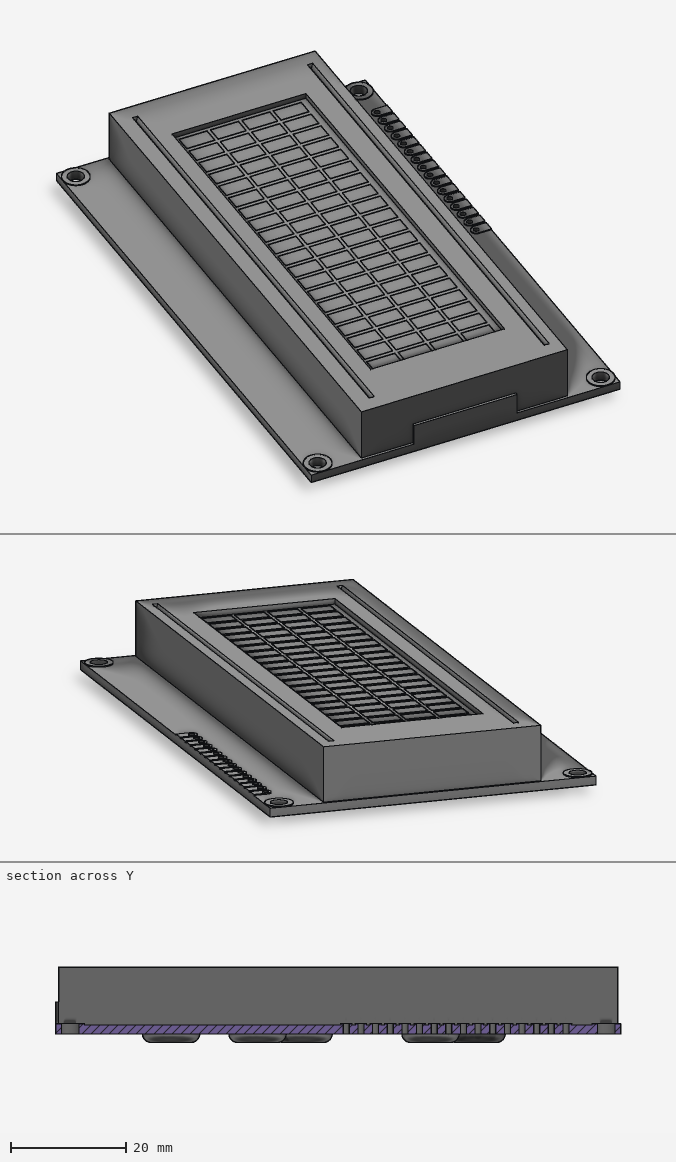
import cadquery as cq

BOARD_X = 98.0
BOARD_Y = 60.0
BOARD_THICKNESS = 1.6

COPPER_HEIGHT = 0.2
HOLE_DIAMETER = 3.0
RING_DIAMETER = 5.0
HOLE_INSET = RING_DIAMETER / 2

PIN_COUNT = 16
PIN_PITCH = 2.54
FIRST_PIN_X = -39.5
PIN_INSET = 2.5
PIN_Y = BOARD_Y / 2 - PIN_INSET
PIN_HOLE_DIAMETER = 1.0
PAD_WIDTH = 2.0

HOUSING_X = 97.0
HOUSING_Y = 40.0
HOUSING_HEIGHT = 10.0
HOUSING_TOP = BOARD_THICKNESS + HOUSING_HEIGHT

GROOVE_LENGTH = 91.0
GROOVE_WIDTH = 1.0
GROOVE_DEPTH = 0.7
GROOVE_Y_CENTERS = (-16.5, 17.5)

WINDOW_X = 76.4
WINDOW_Y = 26.0
WINDOW_DEPTH = 1.0
WINDOW_FLOOR = HOUSING_TOP - WINDOW_DEPTH

CELL_COLUMNS = 20
CELL_ROWS = 4
CELL_X = 3.0
CELL_Y = 5.45
CELL_PITCH_X = 3.8
CELL_PITCH_Y = 6.1
CELL_DEPTH = 0.1
CELL_LEFT_MARGIN = 0.7
CELL_TOP_MARGIN = 1.25

TERMINAL_Y = 20.0
TERMINAL_HEIGHT = 4.0

BLOB_RADIUS = 5.0
BLOB_FLAT_RADIUS = 3.4
BLOB_HEIGHT = 1.5
BLOB_BULGE = 0.3
BLOB_CENTERS = [(-24.0, -9.0), (-16.0, 9.0), (6.0, -9.0), (14.0, 9.0), (29.0, 0.0)]


def block(size_x, size_y, height, base_z):
    """Box centred on the Z axis, standing on base_z."""
    return cq.Workplane("XY").workplane(offset=base_z).rect(size_x, size_y).extrude(height)


def corner_points():
    return [
        (side_x * (BOARD_X / 2 - HOLE_INSET), side_y * (BOARD_Y / 2 - HOLE_INSET))
        for side_x in (-1, 1)
        for side_y in (-1, 1)
    ]


def pin_points():
    return [(FIRST_PIN_X + index * PIN_PITCH, PIN_Y) for index in range(PIN_COUNT)]


def connector_pad(x):
    """Pad running from the +Y board edge to a round end about the pin hole."""
    half = PAD_WIDTH / 2
    return (
        cq.Workplane("XY")
        .workplane(offset=BOARD_THICKNESS)
        .moveTo(x - half, BOARD_Y / 2)
        .lineTo(x - half, PIN_Y)
        .threePointArc((x, PIN_Y - half), (x + half, PIN_Y))
        .lineTo(x + half, BOARD_Y / 2)
        .close()
        .extrude(COPPER_HEIGHT)
    )


def drill(points, diameter):
    """Cutting cylinders through the board and its copper."""
    depth = BOARD_THICKNESS + COPPER_HEIGHT
    return cq.Workplane("XY").pushPoints(points).circle(diameter / 2).extrude(depth)


def make_board():
    board = block(BOARD_X, BOARD_Y, BOARD_THICKNESS, 0)
    rings = (
        cq.Workplane("XY")
        .workplane(offset=BOARD_THICKNESS)
        .pushPoints(corner_points())
        .circle(RING_DIAMETER / 2)
        .extrude(COPPER_HEIGHT)
    )
    board = board.union(rings)
    for x, _ in pin_points():
        board = board.union(connector_pad(x))
    board = board.cut(drill(corner_points(), HOLE_DIAMETER))
    return board.cut(drill(pin_points(), PIN_HOLE_DIAMETER))


def make_groove(y):
    """V-shaped groove with ends that slope like its sides."""
    half = GROOVE_WIDTH / 2
    left = -GROOVE_LENGTH / 2
    right = GROOVE_LENGTH / 2
    bottom = HOUSING_TOP - GROOVE_DEPTH
    front_left = cq.Vector(left, y - half, HOUSING_TOP)
    front_right = cq.Vector(right, y - half, HOUSING_TOP)
    back_left = cq.Vector(left, y + half, HOUSING_TOP)
    back_right = cq.Vector(right, y + half, HOUSING_TOP)
    bottom_left = cq.Vector(left + half, y, bottom)
    bottom_right = cq.Vector(right - half, y, bottom)
    loops = [
        (front_left, front_right, back_right, back_left),
        (front_left, front_right, bottom_right, bottom_left),
        (back_right, back_left, bottom_left, bottom_right),
        (front_left, back_left, bottom_left),
        (front_right, back_right, bottom_right),
    ]
    faces = [cq.Face.makeFromWires(cq.Wire.makePolygon(loop, close=True)) for loop in loops]
    return cq.Workplane(cq.Solid.makeSolid(cq.Shell.makeShell(faces)))


def make_cells():
    first_x = -WINDOW_X / 2 + CELL_LEFT_MARGIN + CELL_X / 2
    first_y = WINDOW_Y / 2 - CELL_TOP_MARGIN - CELL_Y / 2
    centers = [
        (first_x + column * CELL_PITCH_X, first_y - row * CELL_PITCH_Y)
        for column in range(CELL_COLUMNS)
        for row in range(CELL_ROWS)
    ]
    return (
        cq.Workplane("XY")
        .workplane(offset=WINDOW_FLOOR)
        .pushPoints(centers)
        .rect(CELL_X, CELL_Y)
        .extrude(-CELL_DEPTH)
    )


def make_housing():
    housing = block(HOUSING_X, HOUSING_Y, HOUSING_HEIGHT, BOARD_THICKNESS)
    housing = housing.cut(block(WINDOW_X, WINDOW_Y, WINDOW_DEPTH, WINDOW_FLOOR))
    for y in GROOVE_Y_CENTERS:
        housing = housing.cut(make_groove(y))
    return housing.cut(make_cells())


def make_terminal():
    """Upright plate that fills the gap from the housing side to the board edge."""
    thickness = (BOARD_X - HOUSING_X) / 2
    center_x = (BOARD_X - thickness) / 2
    return block(thickness, TERMINAL_Y, TERMINAL_HEIGHT, BOARD_THICKNESS).translate((center_x, 0, 0))


def make_blob(x, y):
    """Disc of resin below the board with a bulging, inward-sloping side."""
    middle_radius = (BLOB_RADIUS + BLOB_FLAT_RADIUS) / 2 + BLOB_BULGE
    return (
        cq.Workplane("XZ")
        .lineTo(-BLOB_RADIUS, 0)
        .threePointArc((-middle_radius, -BLOB_HEIGHT / 2 - BLOB_BULGE), (-BLOB_FLAT_RADIUS, -BLOB_HEIGHT))
        .lineTo(0, -BLOB_HEIGHT)
        .close()
        .revolve(360, (0, 0, 0), (0, 1, 0))
        .translate((x, y, 0))
    )


result = make_board().union(make_housing()).union(make_terminal())
for blob_x, blob_y in BLOB_CENTERS:
    result = result.union(make_blob(blob_x, blob_y))